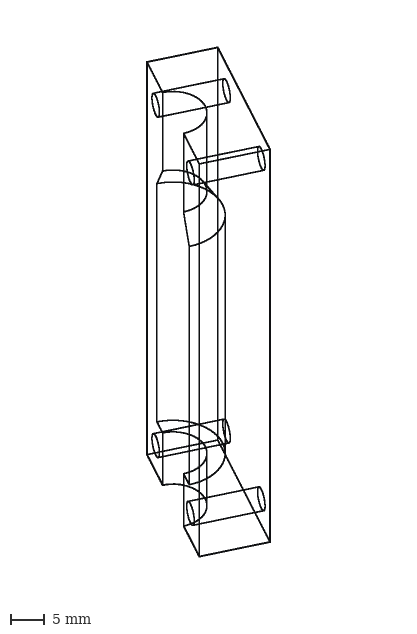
import cadquery as cq

width = 25.0
depth = 11.0
length = 75.0

bore_radius = 5.0
chamber_radius = 7.7
chamber_bottom = 10.0
cone_bottom = 55.5
cone_top = 60.0

hole_diameter = 3.6
hole_spacing = 16.6
hole_end_distance = 5.0


def make_block():
    """Plain block with its parting face on Y = 0 and its base on Z = 0."""
    return cq.Workplane("XY").box(width, depth, length, centered=(True, False, False))


def make_cavity():
    """Stepped round core: bore, wide chamber, cone and bore again, turned about Z."""
    return (
        cq.Workplane("XZ")
        .moveTo(0, 0)
        .lineTo(bore_radius, 0)
        .lineTo(bore_radius, chamber_bottom)
        .lineTo(chamber_radius, chamber_bottom)
        .lineTo(chamber_radius, cone_bottom)
        .lineTo(bore_radius, cone_top)
        .lineTo(bore_radius, length)
        .lineTo(0, length)
        .close()
        .revolve(360, (0, 0, 0), (0, 1, 0))
    )


def make_screw_holes():
    """Four through holes along Y, one near each corner."""
    return (
        cq.Workplane("XZ", origin=(0, 0, length / 2))
        .rect(hole_spacing, length - 2 * hole_end_distance, forConstruction=True)
        .vertices()
        .circle(hole_diameter / 2)
        .extrude(-depth)
    )


result = make_block().cut(make_cavity()).cut(make_screw_holes())